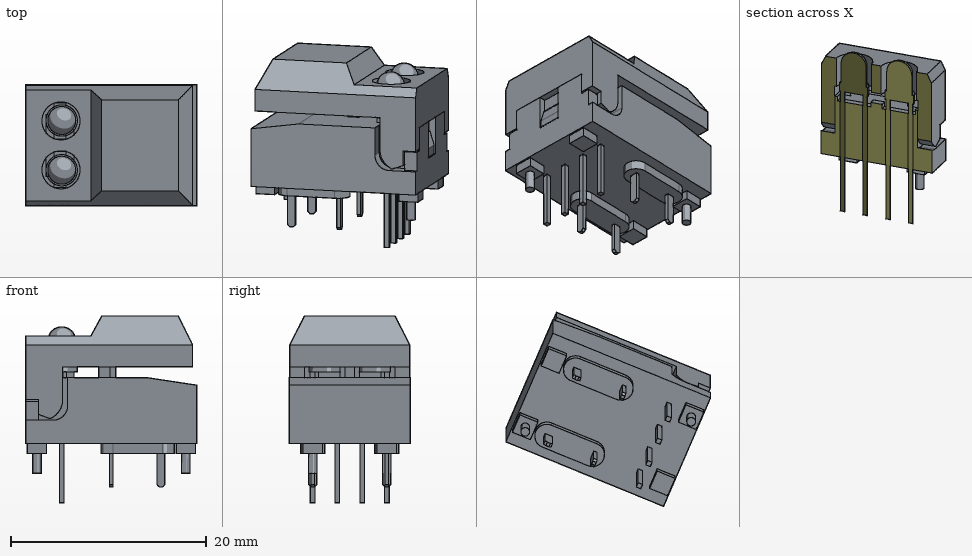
import cadquery as cq
import math


HOUSING_LENGTH = 17.5
HOUSING_WIDTH = 12.4
HOUSING_TOP = 6.76
SLOPE_START_X = 12.42
SLOPE_END_Z = 6.0

NOTCH_BACK_X = 4.3
NOTCH_FLOOR_Z = 2.4
NOTCH_RADIUS = 1.5
SHELF_Z = 4.34
SHELF_LENGTH = 1.32
SHELF_HALF_WIDTH = 5.62
CORE_HALF_WIDTH = 4.62

WINDOW_WIDTH = 2.55
WINDOW_SILL_Z = 2.96
RAMP_BOTTOM_Z = 3.85
RAMP_TOP_Z = 5.31
SILL_DEPTH = 0.13
RAMP_TOP_DEPTH = 0.6
WINDOW_DEPTH = 0.7

FOOT_HEIGHT = 1.01
FOOT_SIZE = 1.99
FOOT_FRONT_X = 1.15
FOOT_BACK_X = 16.37
SUPPORT_Y = 3.78
PAD_START_X = 7.68
PAD_END_X = 15.2
PAD_WIDTH = 2.48
PEG_DIAMETER = 0.9
PEG_END_Z = -3.04
PIN_WIDTH = 0.82
PIN_THICKNESS = 0.38
PIN_END_Z = -4.43
PIN_TIP_CHAMFER = 0.25
CROSSWISE_PIN_X = 8.75
LENGTHWISE_PIN_X = 13.83

LED_X = 3.69
LED_Y = 2.54
DOME_RADIUS = 1.43
DOME_TOP_Z = 11.95
FLANGE_DIAMETER = 3.2
FLANGE_BOTTOM_Z = 7.35
FLANGE_THICKNESS = 1.0
LEAD_SIZE = 0.5
LEAD_SPACING = 2.52
OVERALL_HEIGHT = 19.1

RAIL_FRONT_X = 2.1
RAIL_BACK_X = 4.95
RAIL_HALF_LENGTH = 3.17
RECESS_START_X = 2.9
RECESS_END_X = 4.15
RECESS_INNER_Y = 0.63
RECESS_OUTER_Y = 4.32
RECESS_DEPTH = 0.5

CAP_LENGTH = 17.08
CAP_WIDTH = 12.28
CAP_BOTTOM_Z = 7.85
CAP_TOP_Z = 13.06
CAP_DECK_Z = 11.04
CAP_SHOULDER_Z = 10.1
DECK_END_X = 6.67
CAP_TOP_START_X = 7.77
CAP_TOP_END_X = 15.6
CAP_TOP_WIDTH = 9.28
WELL_X = 3.61
WELL_Y = 2.5
WELL_DIAMETER = 3.9
LEG_BACK_X = 3.78
LEG_FRONT_Z = 4.5
LEG_CURVE_TOP_Z = 4.5
LEG_TIP_X = 2.48
LEG_TIP_Z = 2.55
LEG_HEEL_Z = 3.0
PLUNGER_START_X = 7.47
PLUNGER_STEP_X = 8.63
PLUNGER_END_X = 9.23
PLUNGER_WIDTH = 1.99
PLUNGER_STEP_WIDTH = 1.0

LED_BOTTOM_Z = CAP_TOP_Z - OVERALL_HEIGHT
LEAD_OFFSETS = (-LEAD_SPACING / 2, LEAD_SPACING / 2)
SIDES = (-1, 1)


def block(x_range, y_range, z_range):
    """Box between two limits along each axis."""
    lows, highs = zip(x_range, y_range, z_range)
    size = [high - low for low, high in zip(lows, highs)]
    return cq.Workplane("XY").box(*size, centered=False).translate(lows)


def across(outline, width):
    """Extrude an XZ outline evenly to both sides of the middle plane."""
    return outline.extrude(width / 2, both=True)


def side_plates(outline, inner_half_width, outer_half_width):
    """The parts of an extruded XZ outline between two distances from the middle plane."""
    middle = block((0, HOUSING_LENGTH), (-inner_half_width, inner_half_width), (0, CAP_TOP_Z))
    return across(outline, 2 * outer_half_width).cut(middle)



def make_lead(y):
    half = LEAD_SIZE / 2
    return block((LED_X - half, LED_X + half), (y - half, y + half), (LED_BOTTOM_Z, FLANGE_BOTTOM_Z))


def make_led(y):
    """Domed lens on a flange with two square leads; the profile is turned about the Z axis."""
    flange_radius = FLANGE_DIAMETER / 2
    flange_top = FLANGE_BOTTOM_Z + FLANGE_THICKNESS
    dome_base = DOME_TOP_Z - DOME_RADIUS
    diagonal = DOME_RADIUS * math.sqrt(0.5)
    led = (
        cq.Workplane("XZ")
        .moveTo(0, FLANGE_BOTTOM_Z)
        .lineTo(flange_radius, FLANGE_BOTTOM_Z)
        .lineTo(flange_radius, flange_top)
        .lineTo(DOME_RADIUS, flange_top)
        .lineTo(DOME_RADIUS, dome_base)
        .threePointArc((diagonal, dome_base + diagonal), (0, DOME_TOP_Z))
        .close()
        .revolve(360, (0, 0, 0), (0, 1, 0))
        .translate((LED_X, y, 0))
    )
    for offset in LEAD_OFFSETS:
        led = led.union(make_lead(y + offset))
    return led



def housing_box():
    outline = cq.Workplane("XZ").polyline([
        (0, 0),
        (HOUSING_LENGTH, 0),
        (HOUSING_LENGTH, SLOPE_END_Z),
        (SLOPE_START_X, HOUSING_TOP),
        (0, HOUSING_TOP),
    ]).close()
    return across(outline, HOUSING_WIDTH)


def side_notches():
    """Round-cornered notches for the cap legs, each with a shelf left at the front."""
    outline = (
        cq.Workplane("XZ")
        .moveTo(0, NOTCH_FLOOR_Z)
        .lineTo(NOTCH_BACK_X - NOTCH_RADIUS, NOTCH_FLOOR_Z)
        .radiusArc((NOTCH_BACK_X, NOTCH_FLOOR_Z + NOTCH_RADIUS), -NOTCH_RADIUS)
        .lineTo(NOTCH_BACK_X, HOUSING_TOP)
        .lineTo(0, HOUSING_TOP)
        .close()
    )
    shelf = block((0, SHELF_LENGTH), (-SHELF_HALF_WIDTH, SHELF_HALF_WIDTH), (NOTCH_FLOOR_Z, SHELF_Z))
    return side_plates(outline, CORE_HALF_WIDTH, HOUSING_WIDTH / 2).cut(shelf)


def front_window():
    """Open-topped recess whose back wall has a ramp with a small ledge above it."""
    outline = cq.Workplane("XZ").polyline([
        (0, WINDOW_SILL_Z),
        (SILL_DEPTH, WINDOW_SILL_Z),
        (SILL_DEPTH, RAMP_BOTTOM_Z),
        (RAMP_TOP_DEPTH, RAMP_TOP_Z),
        (WINDOW_DEPTH, RAMP_TOP_Z),
        (WINDOW_DEPTH, HOUSING_TOP),
        (0, HOUSING_TOP),
    ]).close()
    return across(outline, WINDOW_WIDTH)


def led_rail(x_range):
    return block(x_range, (-RAIL_HALF_LENGTH, RAIL_HALF_LENGTH), (HOUSING_TOP, FLANGE_BOTTOM_Z))


def led_recess(side):
    y_range = sorted((side * RECESS_INNER_Y, side * RECESS_OUTER_Y))
    return block((RECESS_START_X, RECESS_END_X), y_range, (HOUSING_TOP - RECESS_DEPTH, HOUSING_TOP))


def feet():
    """Four square corner feet and a long round-ended pad on each side."""
    square_feet = (
        cq.Workplane("XY")
        .pushPoints([(x, side * SUPPORT_Y) for x in (FOOT_FRONT_X, FOOT_BACK_X) for side in SIDES])
        .rect(FOOT_SIZE, FOOT_SIZE)
        .extrude(-FOOT_HEIGHT)
    )
    pad_x = (PAD_START_X + PAD_END_X) / 2
    pads = (
        cq.Workplane("XY")
        .pushPoints([(pad_x, side * SUPPORT_Y) for side in SIDES])
        .slot2D(PAD_END_X - PAD_START_X, PAD_WIDTH)
        .extrude(-FOOT_HEIGHT)
    )
    return square_feet.union(pads)


def pegs():
    """Locating pegs on two diagonally opposite feet."""
    return (
        cq.Workplane("XY")
        .pushPoints([(FOOT_FRONT_X, SUPPORT_Y), (FOOT_BACK_X, -SUPPORT_Y)])
        .circle(PEG_DIAMETER / 2)
        .extrude(PEG_END_Z)
    )


def contact_pin(x, y, turn):
    """Flat pin with a chamfered tip, its wide face turned about the Z axis."""
    return (
        cq.Workplane("XY")
        .rect(PIN_WIDTH, PIN_THICKNESS)
        .extrude(PIN_END_Z)
        .faces("<Z")
        .edges("|Y")
        .chamfer(PIN_TIP_CHAMFER)
        .rotate((0, 0, 0), (0, 0, 1), turn)
        .translate((x, y, 0))
    )


def make_housing():
    housing = housing_box().cut(side_notches()).cut(front_window())
    housing = housing.union(led_rail((RAIL_FRONT_X, RECESS_START_X)))
    housing = housing.union(led_rail((RECESS_END_X, RAIL_BACK_X)))
    housing = housing.union(feet()).union(pegs())
    for side in SIDES:
        housing = housing.cut(led_recess(side))
        housing = housing.union(contact_pin(CROSSWISE_PIN_X, side * SUPPORT_Y, 90))
        housing = housing.union(contact_pin(LENGTHWISE_PIN_X, side * SUPPORT_Y, 0))
        for offset in LEAD_OFFSETS:
            housing = housing.cut(make_lead(side * LED_Y + offset))
    return housing



def cap_body():
    """Raised key with a low front deck; its long sides lean inwards above the shoulder."""
    side_outline = cq.Workplane("XZ").polyline([
        (0, HOUSING_TOP),
        (SHELF_LENGTH, HOUSING_TOP),
        (SHELF_LENGTH, CAP_BOTTOM_Z),
        (CAP_LENGTH, CAP_BOTTOM_Z),
        (CAP_LENGTH, CAP_SHOULDER_Z),
        (CAP_TOP_END_X, CAP_TOP_Z),
        (CAP_TOP_START_X, CAP_TOP_Z),
        (DECK_END_X, CAP_DECK_Z),
        (0, CAP_DECK_Z),
    ]).close()
    end_outline = cq.Workplane("YZ").polyline([
        (-CAP_WIDTH / 2, 0),
        (CAP_WIDTH / 2, 0),
        (CAP_WIDTH / 2, CAP_SHOULDER_Z),
        (CAP_TOP_WIDTH / 2, CAP_TOP_Z),
        (-CAP_TOP_WIDTH / 2, CAP_TOP_Z),
        (-CAP_WIDTH / 2, CAP_SHOULDER_Z),
    ]).close()
    return across(side_outline, CAP_WIDTH).intersect(end_outline.extrude(CAP_LENGTH))


def cap_legs():
    """Side legs beside the housing core, each with a pointed tip behind the housing shelf."""
    run = LEG_BACK_X - LEG_TIP_X
    rise = LEG_CURVE_TOP_Z - LEG_TIP_Z
    back_radius = (run**2 + rise**2) / (2 * run)
    outline = (
        cq.Workplane("XZ")
        .moveTo(0, CAP_BOTTOM_Z)
        .lineTo(0, LEG_FRONT_Z)
        .lineTo(SHELF_LENGTH, LEG_FRONT_Z)
        .lineTo(SHELF_LENGTH, LEG_HEEL_Z)
        .lineTo(LEG_TIP_X, LEG_TIP_Z)
        .radiusArc((LEG_BACK_X, LEG_CURVE_TOP_Z), -back_radius)
        .lineTo(LEG_BACK_X, CAP_BOTTOM_Z)
        .close()
    )
    return side_plates(outline, CORE_HALF_WIDTH, CAP_WIDTH / 2)


def led_wells():
    return (
        cq.Workplane("XY", origin=(0, 0, CAP_BOTTOM_Z))
        .pushPoints([(WELL_X, side * WELL_Y) for side in SIDES])
        .circle(WELL_DIAMETER / 2)
        .extrude(CAP_DECK_Z - CAP_BOTTOM_Z)
    )


def plunger():
    """Stepped plunger that stands on the housing top."""
    z_range = (HOUSING_TOP, CAP_BOTTOM_Z)
    front = block((PLUNGER_START_X, PLUNGER_STEP_X), (-PLUNGER_WIDTH / 2, PLUNGER_WIDTH / 2), z_range)
    step_y = (-PLUNGER_STEP_WIDTH / 2, PLUNGER_STEP_WIDTH / 2)
    return front.union(block((PLUNGER_STEP_X, PLUNGER_END_X), step_y, z_range))


def make_cap():
    return cap_body().union(cap_legs()).union(plunger()).cut(led_wells())


housing = make_housing()
cap = make_cap()
leds = [make_led(side * LED_Y) for side in SIDES]

result = cq.Compound.makeCompound([housing.val(), cap.val(), *[led.val() for led in leds]])